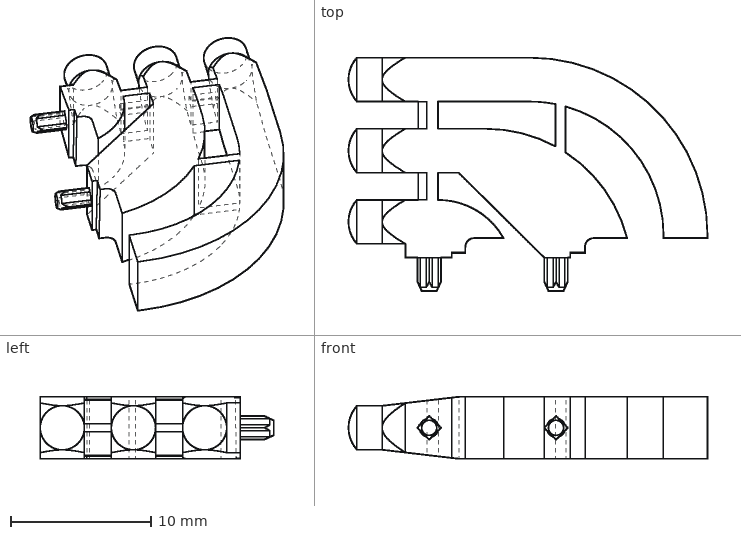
import cadquery as cq
import math


LENGTH = 25.65
WIDTH = 16.67
HEIGHT = 4.45
HALF_HEIGHT = HEIGHT / 2
TOP_EDGE = 12.9

FINGER_WIDTH = 3.15
FINGER_PITCH = 5.08
NOSE_RADIUS = FINGER_WIDTH / 2
DOME_HEIGHT = 0.62
NOSE_END = 2.4
FLARE_END = 4.08
TAPER_END = 7.87
FINGER_CENTERS = [TOP_EDGE - FINGER_WIDTH / 2 - i * FINGER_PITCH for i in range(3)]

OUTER_RADIUS = 12.7
MIDDLE_ARC_X = 9.82
MIDDLE_ARC_RADIUS = 10.41
SMALL_ARC_X = 6.4
SMALL_ARC_RADIUS = 5.35

FOOT_BOTTOM = -1.39
HEEL_BOTTOM = -1.0
HEEL_DRAFT = 0.08
HEEL_FILLET = 0.62
SMALL_FOOT_END = 7.4
SMALL_HEEL_END = 8.35
MIDDLE_FOOT_START = 13.98
MIDDLE_FOOT_END = 15.85
MIDDLE_HEEL_END = 16.9

WEB_START = 5.6
WEB_END = 6.4
STUB_START = 4.98
STUB_HEIGHT = 0.56
ARM_WEB_START = 14.77
ARM_WEB_END = 15.52

PIN_XS = [5.77, 14.83]
PIN_END = TOP_EDGE - WIDTH
PIN_RADIUS = 0.67
RIB_RADIUS = 0.85
PIN_TIP_RADIUS = 0.55
PIN_CHAMFER_LENGTH = 0.67


def block(x_start, x_end, y_low, y_high, height=HEIGHT):
    """Rectangular block centred on Z = 0."""
    size_x = x_end - x_start
    size_y = y_high - y_low
    center = ((x_start + x_end) / 2, (y_low + y_high) / 2, 0)
    return cq.Workplane("XY").box(size_x, size_y, height).translate(center)


def plate(outline):
    """Extrude a closed XY outline over the full height, centred on Z = 0."""
    return outline.close().extrude(HALF_HEIGHT, both=True)


def arc_point(center_x, center_y, radius, angle):
    return (center_x + radius * math.cos(angle), center_y + radius * math.sin(angle))


def add_top_arc(outline, center_x, top, radius):
    """Arc leaving the straight edge Y = top tangentially and falling to Y = 0."""
    center_y = top - radius
    end_angle = math.asin(-center_y / radius)
    middle = arc_point(center_x, center_y, radius, (math.pi / 2 + end_angle) / 2)
    end = arc_point(center_x, center_y, radius, end_angle)
    return outline.lineTo(center_x, top).threePointArc(middle, end)


def add_heel(outline, heel_end, foot_end):
    """Return along Y = 0, through the concave fillet and the heel step, to the foot."""
    fillet_center_x = heel_end + HEEL_FILLET
    middle = arc_point(fillet_center_x, -HEEL_FILLET, HEEL_FILLET, 0.75 * math.pi)
    return (
        outline.lineTo(fillet_center_x, 0)
        .threePointArc(middle, (heel_end, -HEEL_FILLET))
        .lineTo(heel_end, HEEL_BOTTOM)
        .lineTo(foot_end, HEEL_BOTTOM)
        .lineTo(foot_end, FOOT_BOTTOM)
    )


def heel_draft(foot_end, heel_end):
    """Thin wedge that leans the heel face outward toward the underside."""
    return (
        cq.Workplane("YZ", origin=(foot_end, 0, 0))
        .moveTo(HEEL_BOTTOM, HALF_HEIGHT)
        .lineTo(HEEL_BOTTOM - HEEL_DRAFT, -HALF_HEIGHT)
        .lineTo(HEEL_BOTTOM, -HALF_HEIGHT)
        .close()
        .extrude(heel_end - foot_end)
    )


def outer_channel():
    """Long arm bent through a quarter turn."""
    center_x = LENGTH - OUTER_RADIUS
    center_y = TOP_EDGE - OUTER_RADIUS
    inner_radius = OUTER_RADIUS - FINGER_WIDTH
    inner_edge = TOP_EDGE - FINGER_WIDTH
    outer_middle = arc_point(center_x, center_y, OUTER_RADIUS, math.pi / 4)
    inner_middle = arc_point(center_x, center_y, inner_radius, math.pi / 4)
    outline = (
        cq.Workplane("XY")
        .moveTo(FLARE_END, inner_edge)
        .lineTo(FLARE_END, TOP_EDGE)
        .lineTo(center_x, TOP_EDGE)
        .threePointArc(outer_middle, (LENGTH, center_y))
        .lineTo(LENGTH, 0)
        .lineTo(LENGTH - FINGER_WIDTH, 0)
        .lineTo(LENGTH - FINGER_WIDTH, center_y)
        .threePointArc(inner_middle, (center_x, inner_edge))
    )
    return plate(outline)


def middle_channel():
    """Channel widening along a diagonal down to its foot."""
    top = FINGER_CENTERS[1] + FINGER_WIDTH / 2
    bottom = top - FINGER_WIDTH
    outline = cq.Workplane("XY").moveTo(FLARE_END, bottom).lineTo(FLARE_END, top)
    outline = add_top_arc(outline, MIDDLE_ARC_X, top, MIDDLE_ARC_RADIUS)
    outline = add_heel(outline, MIDDLE_HEEL_END, MIDDLE_FOOT_END)
    outline = outline.lineTo(MIDDLE_FOOT_START, FOOT_BOTTOM).lineTo(TAPER_END, bottom)
    return plate(outline).union(heel_draft(MIDDLE_FOOT_END, MIDDLE_HEEL_END))


def small_channel():
    """Shortest channel, standing directly on its foot."""
    top = FINGER_CENTERS[2] + FINGER_WIDTH / 2
    outline = cq.Workplane("XY").moveTo(FLARE_END, FOOT_BOTTOM).lineTo(FLARE_END, top)
    outline = add_top_arc(outline, SMALL_ARC_X, top, SMALL_ARC_RADIUS)
    outline = add_heel(outline, SMALL_HEEL_END, SMALL_FOOT_END)
    return plate(outline).union(heel_draft(SMALL_FOOT_END, SMALL_HEEL_END))


def taper_envelope():
    """Side profile that thins the part from the full height down to the noses."""
    return (
        cq.Workplane("XZ")
        .moveTo(NOSE_END, -NOSE_RADIUS)
        .lineTo(TAPER_END, -HALF_HEIGHT)
        .lineTo(LENGTH, -HALF_HEIGHT)
        .lineTo(LENGTH, HALF_HEIGHT)
        .lineTo(TAPER_END, HALF_HEIGHT)
        .lineTo(NOSE_END, NOSE_RADIUS)
        .close()
        .extrude(LENGTH, both=True)
    )


def nose(center_y):
    """Domed cylinder followed by a cone whose end just encloses the finger corners."""
    taper_slope = (HALF_HEIGHT - NOSE_RADIUS) / (TAPER_END - NOSE_END)
    flare_half_height = NOSE_RADIUS + taper_slope * (FLARE_END - NOSE_END)
    flare_radius = math.hypot(FINGER_WIDTH / 2, flare_half_height)
    dome_sphere_radius = (NOSE_RADIUS**2 + DOME_HEIGHT**2) / (2 * DOME_HEIGHT)
    half_angle = math.asin(NOSE_RADIUS / dome_sphere_radius) / 2
    dome_middle = (
        dome_sphere_radius * (1 - math.cos(half_angle)),
        dome_sphere_radius * math.sin(half_angle),
    )
    rounded = (
        cq.Workplane("XY")
        .threePointArc(dome_middle, (DOME_HEIGHT, NOSE_RADIUS))
        .lineTo(NOSE_END, NOSE_RADIUS)
        .lineTo(NOSE_END, 0)
        .close()
        .revolve(360, (0, 0, 0), (1, 0, 0))
    )
    flare = (
        cq.Workplane("XY")
        .moveTo(NOSE_END, 0)
        .lineTo(NOSE_END, NOSE_RADIUS)
        .lineTo(FLARE_END, flare_radius)
        .lineTo(FLARE_END, 0)
        .close()
        .revolve(360, (0, 0, 0), (1, 0, 0))
        .intersect(block(NOSE_END, FLARE_END, -FINGER_WIDTH / 2, FINGER_WIDTH / 2))
        .intersect(taper_envelope())
    )
    return rounded.union(flare).translate((0, center_y, 0))


def pin(center_x):
    """Round pin with four pointed ribs and a conical tip, pointing toward -Y."""
    pin_length = FOOT_BOTTOM - PIN_END
    base = cq.Workplane("XZ", origin=(center_x, FOOT_BOTTOM, 0))
    core = base.circle(PIN_RADIUS).extrude(pin_length)
    ribs = base.polygon(4, 2 * RIB_RADIUS).extrude(pin_length)
    tip_envelope = (
        cq.Workplane("XY")
        .lineTo(RIB_RADIUS, 0)
        .lineTo(RIB_RADIUS, PIN_CHAMFER_LENGTH - pin_length)
        .lineTo(PIN_TIP_RADIUS, -pin_length)
        .lineTo(0, -pin_length)
        .close()
        .revolve(360, (0, 0, 0), (0, 1, 0))
        .translate((center_x, FOOT_BOTTOM, 0))
    )
    return core.union(ribs).intersect(tip_envelope)


def webs():
    """Bridges between neighbouring channels; the finger webs carry a small front stub."""
    outer_y, middle_y, small_y = FINGER_CENTERS
    joined = block(ARM_WEB_START, ARM_WEB_END, middle_y - FINGER_WIDTH / 2, outer_y)
    for low_y, high_y in [(small_y, middle_y), (middle_y, outer_y)]:
        joined = joined.union(block(WEB_START, WEB_END, low_y, high_y))
        joined = joined.union(block(STUB_START, WEB_START, low_y, high_y, STUB_HEIGHT))
    return joined


result = outer_channel().union(middle_channel()).union(small_channel()).union(webs())
result = result.intersect(taper_envelope())
for finger_y in FINGER_CENTERS:
    result = result.union(nose(finger_y))
for pin_x in PIN_XS:
    result = result.union(pin(pin_x))